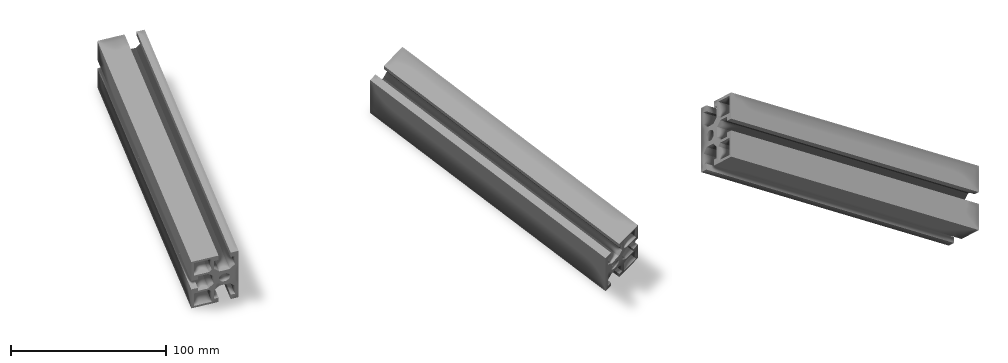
import cadquery as cq

LENGTH = 200.0
DEPTH = 32.0
HEIGHT = 45.0
BACK_Y = DEPTH / 2
FRONT_Y = -DEPTH / 2
TOP_Z = HEIGHT / 2

SLOT_OPENING = 8.2
SLOT_CAVITY = 14.0
END_SLOT_LIP = 4.2
SLOT_CHAMFER = 3.5
END_SLOT_DEPTH = 15.6
FRONT_SLOT_DEPTH = 15.1
FRONT_SLOT_LIP = 4.4

BORE_DIAMETER = 7.5
BORE_FROM_BACK = 9.5
BORE_Y = BACK_Y - BORE_FROM_BACK

WALL = 1.8
CHAMBER_SIZE = 12.0
CHAMBER_CHAMFER = 1.9


def prism(points):
    """Extrude a closed (Y, Z) outline over the full length."""
    return cq.Workplane("YZ", origin=(-LENGTH / 2, 0, 0)).polyline(points).close().extrude(LENGTH)


def slot_outline(depth, lip):
    """T-slot section as (offset from slot centre, depth below face)."""
    half_opening = SLOT_OPENING / 2
    half_cavity = SLOT_CAVITY / 2
    half_floor = half_cavity - SLOT_CHAMFER
    side = [
        (half_opening, 0),
        (half_opening, lip),
        (half_cavity, lip),
        (half_cavity, depth - SLOT_CHAMFER),
        (half_floor, depth),
    ]
    return side + [(-offset, below) for offset, below in reversed(side)]


def top_slot():
    outline = slot_outline(END_SLOT_DEPTH, END_SLOT_LIP)
    return prism([(BORE_Y + offset, TOP_Z - below) for offset, below in outline])


def front_slot():
    outline = slot_outline(FRONT_SLOT_DEPTH, FRONT_SLOT_LIP)
    return prism([(FRONT_Y + below, offset) for offset, below in outline])


def top_chamber():
    front = FRONT_Y + WALL
    back = front + CHAMBER_SIZE
    top = TOP_Z - WALL
    bottom = top - CHAMBER_SIZE
    return prism([
        (front, top),
        (back, top),
        (back, bottom + CHAMBER_CHAMFER),
        (back - CHAMBER_CHAMFER, bottom),
        (front, bottom),
    ])


def bore():
    return (
        cq.Workplane("YZ", origin=(-LENGTH / 2, BORE_Y, 0))
        .circle(BORE_DIAMETER / 2)
        .extrude(LENGTH)
    )


result = cq.Workplane("XY").box(LENGTH, DEPTH, HEIGHT)
result = result.cut(front_slot()).cut(bore())

for upper_cut in (top_slot(), top_chamber()):
    result = result.cut(upper_cut).cut(upper_cut.mirror("XY"))